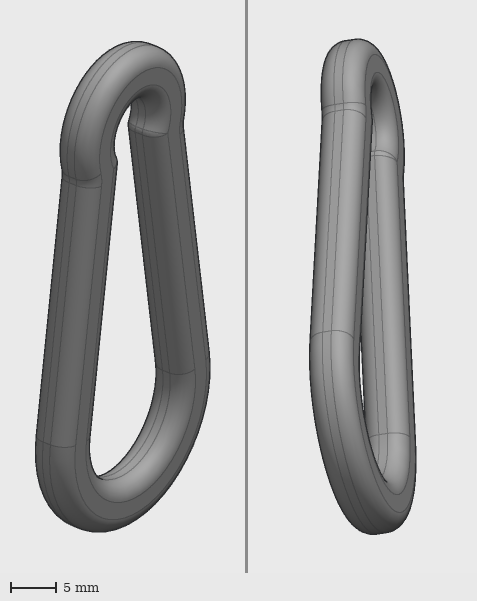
import cadquery as cq
import math

thickness = 5.0
band_width = 6.0
edge_radius = 2.0
total_height = 60.0
lower_outer_radius = 14.0
upper_outer_radius = 9.5
leg_tilt = math.radians(8.65)

outer_junction_radius = 2.0
inner_junction_radius = 1.0

upper_center_z = total_height - lower_outer_radius - upper_outer_radius


def pear_prism(lower_radius, upper_radius, junction_radius):
    """Closed pear outline extruded along X, with blended upper junctions.

    Each leg is tangent to the lower circle and crosses the upper circle.
    """
    leg_y = lower_radius * math.cos(leg_tilt)
    leg_z = lower_radius * math.sin(leg_tilt)

    leg_distance = lower_radius - upper_center_z * math.sin(leg_tilt)
    crossing_angle = leg_tilt - math.acos(leg_distance / upper_radius)
    junction_y = upper_radius * math.cos(crossing_angle)
    junction_z = upper_center_z + upper_radius * math.sin(crossing_angle)

    prism = (
        cq.Workplane("YZ")
        .moveTo(leg_y, leg_z)
        .lineTo(junction_y, junction_z)
        .threePointArc((0, upper_center_z + upper_radius), (-junction_y, junction_z))
        .lineTo(-leg_y, leg_z)
        .threePointArc((0, -lower_radius), (leg_y, leg_z))
        .close()
        .extrude(thickness / 2, both=True)
    )
    return prism.edges("|X").edges(">Z").fillet(junction_radius)


outer_body = pear_prism(lower_outer_radius, upper_outer_radius, outer_junction_radius)
opening = pear_prism(
    lower_outer_radius - band_width,
    upper_outer_radius - band_width,
    inner_junction_radius,
)

result = outer_body.cut(opening).faces("<X or >X").edges().fillet(edge_radius)